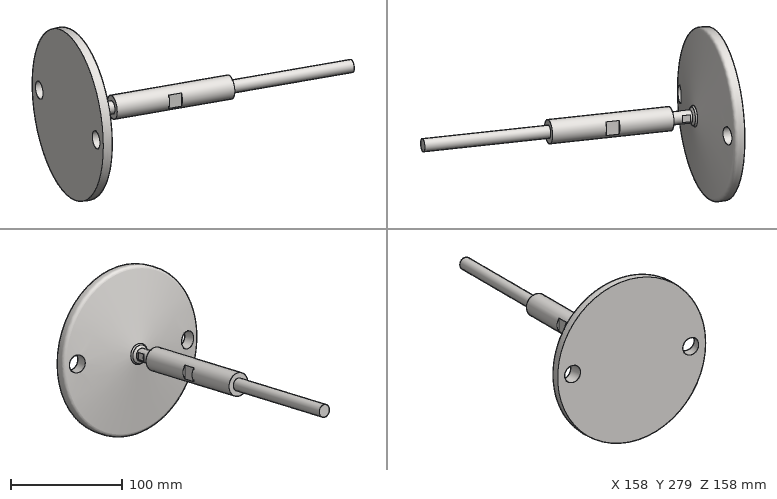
import cadquery as cq
import math

total_length = 279.0

plate_radius = 158.0 / 2
sole_radius = plate_radius - 0.3
rim_taper_height = 4.2
rim_corner_height = 9.5
crown_height = 21.0
crown_radius = 10.0
rim_fillet = 3.3
bolt_hole_diameter = 16.5
bolt_hole_offset = 62.8
cone_angle = math.degrees(
    math.atan2(crown_height - rim_corner_height, plate_radius - crown_radius)
)

spindle_diameter = 12.0
flare_radius = 9.8
flare_waist_radius = 8.6
flare_waist_height = 22.5
flare_top = 24.3
spindle_flat_start = 26.2
spindle_flat_length = 7.5
spindle_across_flats = 10.0

sleeve_diameter = 22.0
sleeve_start = 43.8
sleeve_length = 115.5
sleeve_flat_length = 12.5
sleeve_across_flats = 17.9


def revolve_about_y(points):
    """Solid of revolution from (radius, height) points."""
    return cq.Workplane("XY").polyline(points).close().revolve(360, (0, 0, 0), (0, 1, 0))


def cut_wrench_flats(body, diameter, across_flats, start, length):
    """Cut two opposite flats, facing -X and +X."""
    depth = (diameter - across_flats) / 2
    for side in (-1, 1):
        center_x = side * (across_flats + depth) / 2
        cutter = cq.Workplane("XY").box(depth, length, diameter)
        body = body.cut(cutter.translate((center_x, start + length / 2, 0)))
    return body


def make_plate():
    plate = revolve_about_y([
        (0, 0),
        (sole_radius, 0),
        (plate_radius, rim_taper_height),
        (plate_radius, rim_corner_height),
        (crown_radius, crown_height),
        (0, crown_height),
    ])
    rim_corner = cq.selectors.BoxSelector(
        (-plate_radius - 2.8, rim_corner_height - 0.3, -plate_radius - 2.8),
        (plate_radius + 2.8, rim_corner_height + 0.3, plate_radius + 2.8),
    )
    plate = plate.edges(rim_corner).fillet(rim_fillet)

    tilt = math.radians(cone_angle)
    for side in (-1, 1):
        direction = cq.Vector(side * math.sin(tilt), math.cos(tilt), 0)
        center = cq.Vector(side * bolt_hole_offset, 0, 0)
        hole = cq.Solid.makeCylinder(
            bolt_hole_diameter / 2,
            2 * crown_height,
            center - direction * (crown_height / 2),
            direction,
        )
        plate = plate.cut(cq.Workplane(hole))
    return plate


def make_spindle():
    radius = spindle_diameter / 2
    spindle = revolve_about_y([
        (0, crown_height),
        (flare_radius, crown_height),
        (flare_waist_radius, flare_waist_height),
        (radius, flare_top),
        (radius, total_length),
        (0, total_length),
    ])
    return cut_wrench_flats(
        spindle, spindle_diameter, spindle_across_flats, spindle_flat_start, spindle_flat_length
    )


def make_sleeve():
    inner = spindle_diameter / 2
    outer = sleeve_diameter / 2
    sleeve_end = sleeve_start + sleeve_length
    sleeve = revolve_about_y([
        (inner, sleeve_start),
        (outer, sleeve_start),
        (outer, sleeve_end),
        (inner, sleeve_end),
    ])
    flat_start = sleeve_start + (sleeve_length - sleeve_flat_length) / 2
    return cut_wrench_flats(
        sleeve, sleeve_diameter, sleeve_across_flats, flat_start, sleeve_flat_length
    )


plate = make_plate()
spindle = make_spindle()
sleeve = make_sleeve()

result = cq.Compound.makeCompound([plate.val(), spindle.val(), sleeve.val()])